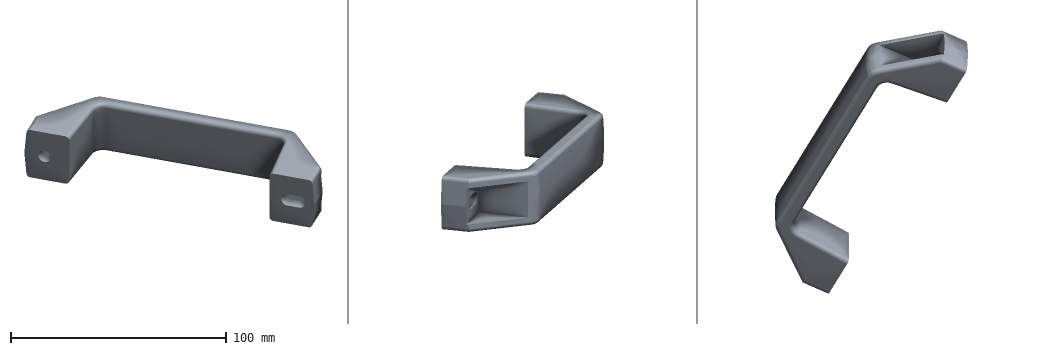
import cadquery as cq
import math

length = 142.0
height = 40.0
width = 26.0

end_height = 12.2
slope_angle = 50.0
grip_underside = 32.2
foot_inner_x = 49.0
inner_draft = 5.0
inner_radius = 5.1
shoulder_radius = 5.7
edge_radius = 2.0

crown_rise = 0.9
end_angle = 5.0

hole_diameter = 6.2
hole_x = -61.0
slot_x = 60.8
slot_length = 11.9
recess_seat = end_height
recess_wall_x = 51.1
recess_width = 17.6

half_length = length / 2
half_width = width / 2
shoulder_x = half_length - (height - end_height) / math.tan(math.radians(slope_angle))
arch_inner_x = foot_inner_x - grip_underside * math.tan(math.radians(inner_draft))


def make_side_body():
    """Straight extrusion of the handle outline with rounded inner corners."""
    body = (
        cq.Workplane("XY")
        .workplane(offset=-half_width)
        .moveTo(-half_length, 0)
        .lineTo(-half_length, end_height)
        .lineTo(-shoulder_x, height)
        .lineTo(shoulder_x, height)
        .lineTo(half_length, end_height)
        .lineTo(half_length, 0)
        .lineTo(foot_inner_x, 0)
        .lineTo(arch_inner_x, grip_underside)
        .lineTo(-arch_inner_x, grip_underside)
        .lineTo(-foot_inner_x, 0)
        .close()
        .extrude(width)
    )
    for x in (-arch_inner_x, arch_inner_x):
        corner = cq.selectors.NearestToPointSelector((x, grip_underside, 0))
        body = body.edges("|Z").edges(corner).fillet(inner_radius)
    return body


def make_crown_envelope():
    """Cross-section whose outer side is a shallow arc across the grip."""
    side_height = height - crown_rise
    return (
        cq.Workplane("YZ")
        .workplane(offset=-half_length)
        .moveTo(0, -half_width)
        .lineTo(side_height, -half_width)
        .threePointArc((height, 0), (side_height, half_width))
        .lineTo(0, half_width)
        .close()
        .extrude(length)
    )


def make_end_envelope():
    """Plan outline with each end coming to a blunt point at mid-width."""
    side_x = half_length - half_width * math.tan(math.radians(end_angle))
    outline = [
        (-half_length, 0),
        (-side_x, half_width),
        (side_x, half_width),
        (half_length, 0),
        (side_x, -half_width),
        (-side_x, -half_width),
    ]
    return cq.Workplane("XZ").polyline(outline).close().extrude(-height)


def round_edges(body):
    """Round the shoulders, then the rims of both flat sides above the mounting face."""
    for x in (-shoulder_x, shoulder_x):
        shoulder = cq.selectors.NearestToPointSelector((x, height, 0))
        body = body.edges(shoulder).fillet(shoulder_radius)
    above_mounting_face = cq.selectors.BoxSelector(
        (-length, edge_radius, -width), (length, height, width)
    )
    return body.faces("|Z").edges(above_mounting_face).fillet(edge_radius)


def cut_screw_features(body):
    """Cut a recess in each shoulder, one round hole and one slotted hole."""
    recess_length = half_length - recess_wall_x
    recess_centre_x = recess_wall_x + recess_length / 2
    recesses = (
        cq.Workplane("XZ", origin=(0, recess_seat, 0))
        .pushPoints([(-recess_centre_x, 0), (recess_centre_x, 0)])
        .rect(recess_length, recess_width)
        .extrude(-height)
    )
    hole = cq.Workplane("XZ").center(hole_x, 0).circle(hole_diameter / 2).extrude(-height)
    slot = cq.Workplane("XZ").center(slot_x, 0).slot2D(slot_length, hole_diameter).extrude(-height)
    return body.cut(recesses).cut(hole).cut(slot)


body = make_side_body().intersect(make_crown_envelope()).intersect(make_end_envelope())
result = cut_screw_features(round_edges(body))